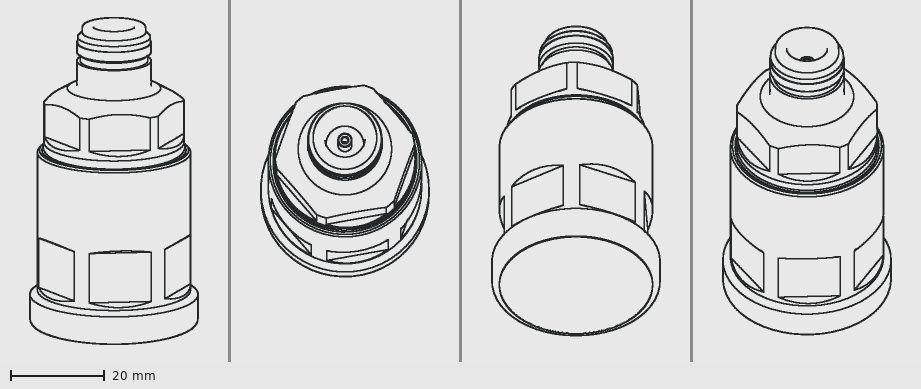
import cadquery as cq
import math

total_height = 66.17
flange_rim_bottom = 0.25
flange_rim_top = 6.55
flange_top = 7.5
sleeve_top = 38.5
oring_groove_bottom = 38.3
oring_groove_top = 40.3
nut_shoulder = 49.3
nut_top = 52.3
neck_groove_bottom = 58.4
neck_groove_top = 59.85
collar_bottom = 60.35
collar_step = 62.45
collar_cone_bottom = 63.7
collar_cone_top = 64.7

flange_radius = 18.0
base_radius = 16.4
sleeve_radius = 16.4
nut_radius = 15.0
nut_top_radius = 10.0
neck_radius = 7.95
neck_groove_radius = 7.25
collar_upper_radius = 7.8
tip_radius = 6.8

flange_bottom_round = 1.0
sleeve_chamfer = 0.45
neck_fillet = 0.8
tip_round = 0.5

oring_recess_radius = 15.4
oring_section_radius = (oring_groove_top - oring_groove_bottom) / 2
oring_outer_radius = 15.15
oring_center_radius = oring_outer_radius - oring_section_radius
oring_center_height = oring_groove_bottom + oring_section_radius

flat_count = 6
runout_angle = 30.0
nut_across_flats = 27.0
nut_flat_bottom = 42.15
sleeve_across_flats = 30.0
sleeve_flat_bottom = 8.95
sleeve_flat_top = 19.9

socket_floor_radius = 4.05
socket_depth = 9.0
socket_mouth_radius = 4.35
socket_mouth_fillet = 0.45
contact_radius = 1.5
contact_bore_radius = 0.65
contact_chamfer = 0.15
contact_recess = 3.85


def arc_inset(radius):
    """Distance from each tangent side to the midpoint of a quarter-circle edge round."""
    return radius * (1 - math.sqrt(0.5))


def make_turned_body():
    """Revolve the outer profile, drawn as radius and height."""
    fillet_inset = arc_inset(neck_fillet)
    round_inset = arc_inset(flange_bottom_round)
    tip_inset = arc_inset(tip_round)
    profile = (
        cq.Workplane("XZ")
        .lineTo(base_radius, 0)
        .lineTo(base_radius, flange_rim_bottom)
        .lineTo(flange_radius - flange_bottom_round, flange_rim_bottom)
        .threePointArc(
            (flange_radius - round_inset, flange_rim_bottom + round_inset),
            (flange_radius, flange_rim_bottom + flange_bottom_round),
        )
        .lineTo(flange_radius, flange_rim_top)
        .lineTo(sleeve_radius, flange_top)
        .lineTo(sleeve_radius, sleeve_top - sleeve_chamfer)
        .lineTo(sleeve_radius - sleeve_chamfer, sleeve_top)
        .lineTo(oring_recess_radius, sleeve_top)
        .lineTo(oring_recess_radius, oring_groove_bottom)
        .lineTo(oring_center_radius, oring_groove_bottom)
        .threePointArc(
            (oring_center_radius - oring_section_radius, oring_center_height),
            (oring_center_radius, oring_groove_top),
        )
        .lineTo(nut_radius, oring_groove_top)
        .lineTo(nut_radius, nut_shoulder)
        .lineTo(nut_top_radius, nut_top)
        .lineTo(neck_radius + neck_fillet, nut_top)
        .threePointArc(
            (neck_radius + fillet_inset, nut_top + fillet_inset),
            (neck_radius, nut_top + neck_fillet),
        )
        .lineTo(neck_radius, neck_groove_bottom)
        .lineTo(neck_groove_radius, neck_groove_bottom)
        .lineTo(neck_groove_radius, neck_groove_top)
        .lineTo(neck_radius, collar_bottom)
        .lineTo(neck_radius, collar_step)
        .lineTo(collar_upper_radius, collar_step)
        .lineTo(collar_upper_radius, collar_cone_bottom)
        .lineTo(tip_radius, collar_cone_top)
        .lineTo(tip_radius, total_height - tip_round)
        .threePointArc(
            (tip_radius - tip_inset, total_height - tip_inset),
            (tip_radius - tip_round, total_height),
        )
        .lineTo(0, total_height)
        .close()
    )
    return profile.revolve(360, (0, 0, 0), (0, 1, 0))


def cut_flats(solid, across_flats, bottom, top, top_runout):
    """Cut a ring of wrench flats whose ends slope outward at the runout angle."""
    inner = across_flats / 2
    outer = flange_radius
    rise = (outer - inner) * math.tan(math.radians(runout_angle))
    top_rise = rise if top_runout else 0
    cutter = (
        cq.Workplane("XZ")
        .polyline([(inner, bottom), (outer, bottom - rise), (outer, top + top_rise), (inner, top)])
        .close()
        .extrude(flange_radius / 2, both=True)
    )
    for index in range(flat_count):
        angle = 90 + index * 360 / flat_count
        solid = solid.cut(cutter.rotate((0, 0, 0), (0, 0, 1), angle))
    return solid


def make_socket():
    """Space inside the tip: the bore with its taper and rounded mouth, less the center contact."""
    floor = total_height - socket_depth
    mouth_inset = arc_inset(socket_mouth_fillet)
    contact_top = total_height - contact_recess
    profile = (
        cq.Workplane("XZ")
        .moveTo(0, floor)
        .lineTo(contact_bore_radius, floor)
        .lineTo(contact_bore_radius, contact_top - contact_chamfer)
        .lineTo(contact_bore_radius + contact_chamfer, contact_top)
        .lineTo(contact_radius - contact_chamfer, contact_top)
        .lineTo(contact_radius, contact_top - contact_chamfer)
        .lineTo(contact_radius, floor)
        .lineTo(socket_floor_radius, floor)
        .lineTo(socket_mouth_radius, total_height - socket_mouth_fillet)
        .threePointArc(
            (socket_mouth_radius + mouth_inset, total_height - mouth_inset),
            (socket_mouth_radius + socket_mouth_fillet, total_height),
        )
        .lineTo(0, total_height)
        .close()
    )
    return profile.revolve(360, (0, 0, 0), (0, 1, 0))


def make_connector():
    solid = make_turned_body()
    solid = cut_flats(solid, nut_across_flats, nut_flat_bottom, nut_top, False)
    solid = cut_flats(solid, sleeve_across_flats, sleeve_flat_bottom, sleeve_flat_top, True)
    return solid.cut(make_socket())


def make_oring():
    return (
        cq.Workplane("XZ")
        .center(oring_center_radius, oring_center_height)
        .circle(oring_section_radius)
        .revolve(360, (-oring_center_radius, 0, 0), (-oring_center_radius, 1, 0))
    )


connector = make_connector()
oring = make_oring()

result = cq.Compound.makeCompound([connector.val(), oring.val()])